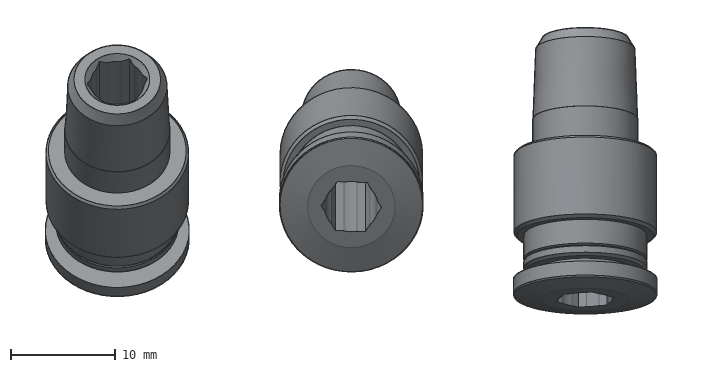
import cadquery as cq
import math

height = 25.9
base_face_radius = 4.2
flange_radius = 13.8 / 2
neck_radius = 9.35 / 2
collar_radius = 11.8 / 2
sleeve_radius = 13.68 / 2
stem_radius = 10.1 / 2
taper_start_radius = 5.02
taper_end_radius = 4.77
tip_radius = 4.15

flange_edge_z = 0.41
flange_top_z = 1.97
collar_bottom_z = 2.85
groove_z = 3.88
sleeve_bottom_z = 6.37
sleeve_top_z = 14.53
taper_start_z = 17.87
taper_end_z = 24.85

flange_edge_inset = 0.08
flange_edge_rise = 0.15
neck_fillet = 0.4
collar_chamfer = 0.25
groove_depth = 0.13
sleeve_bottom_chamfer = 0.28
sleeve_top_chamfer = 0.23

hex_across_flats = 5.0
relief_diameter = 5.15
countersink_radius = 3.1


def make_body():
    """Revolve the half profile of the stepped outside around Z."""
    fillet_mid_offset = neck_fillet * (1 - math.sqrt(0.5))
    return (
        cq.Workplane("XZ")
        .moveTo(0, 0)
        .lineTo(base_face_radius, 0)
        .lineTo(flange_radius - flange_edge_inset, flange_edge_z)
        .lineTo(flange_radius, flange_edge_z + flange_edge_rise)
        .lineTo(flange_radius, flange_top_z)
        .lineTo(neck_radius + neck_fillet, flange_top_z)
        .threePointArc(
            (neck_radius + fillet_mid_offset, flange_top_z + fillet_mid_offset),
            (neck_radius, flange_top_z + neck_fillet),
        )
        .lineTo(neck_radius, collar_bottom_z)
        .lineTo(collar_radius - collar_chamfer, collar_bottom_z)
        .lineTo(collar_radius, collar_bottom_z + collar_chamfer)
        .lineTo(collar_radius, groove_z - groove_depth)
        .lineTo(collar_radius - groove_depth, groove_z)
        .lineTo(collar_radius, groove_z + groove_depth)
        .lineTo(collar_radius, sleeve_bottom_z)
        .lineTo(sleeve_radius - sleeve_bottom_chamfer, sleeve_bottom_z)
        .lineTo(sleeve_radius, sleeve_bottom_z + sleeve_bottom_chamfer)
        .lineTo(sleeve_radius, sleeve_top_z - sleeve_top_chamfer)
        .lineTo(sleeve_radius - sleeve_top_chamfer, sleeve_top_z)
        .lineTo(stem_radius, sleeve_top_z)
        .lineTo(stem_radius, taper_start_z)
        .lineTo(taper_start_radius, taper_start_z)
        .lineTo(taper_end_radius, taper_end_z)
        .lineTo(tip_radius, height)
        .lineTo(0, height)
        .close()
        .revolve(360, (0, 0, 0), (0, 1, 0))
    )


def make_socket():
    """Through socket with two hexagon corners on the Y axis."""
    hex_corner_diameter = hex_across_flats / math.cos(math.pi / 6)
    hexagon = (
        cq.Workplane("XY")
        .transformed(rotate=(0, 0, 90))
        .polygon(6, hex_corner_diameter)
        .extrude(height)
    )
    relief = cq.Workplane("XY").circle(relief_diameter / 2).extrude(height)
    countersink = cq.Workplane(
        cq.Solid.makeCone(0, countersink_radius, countersink_radius)
    ).translate((0, 0, height - countersink_radius))
    return hexagon.union(relief).union(countersink)


result = make_body().cut(make_socket())